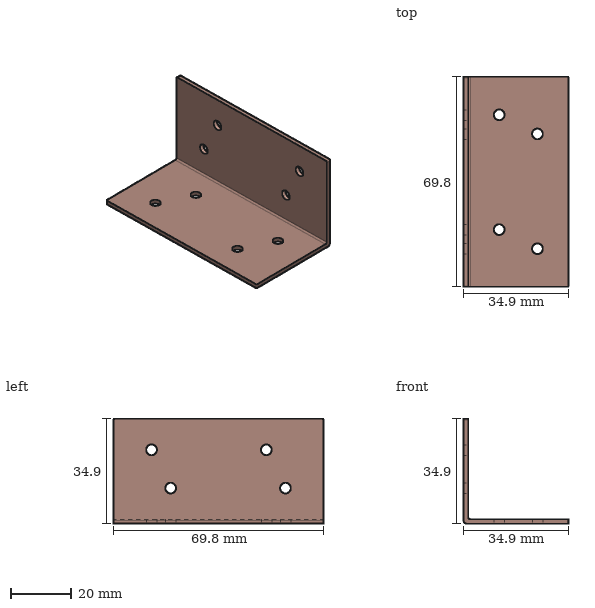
import cadquery as cq

length = 69.85
leg = 34.9
thickness = 1.6
outer_radius = 1.1
inner_radius = 0.6
corner_radius = 0.4

hole_diameter = 3.5
near_row = 11.9
row_spacing = 12.7
hole_pitch = 38.15
row_shift = 6.35

row_offset = row_shift / 2
far_row = near_row + row_spacing


def hole_points(near_shift):
    """Distances from the bend side paired with places along the length, rows shifted oppositely."""
    return [
        (distance, shift + side * hole_pitch / 2)
        for distance, shift in ((near_row, near_shift), (far_row, -near_shift))
        for side in (-1, 1)
    ]


def angle_profile():
    """L-shaped sheet extruded along Y, rounded at the bend."""
    body = (
        cq.Workplane("XZ")
        .polyline([(0, 0), (leg, 0), (leg, thickness), (thickness, thickness), (thickness, leg), (0, leg)])
        .close()
        .extrude(length / 2, both=True)
    )
    body = body.edges(cq.selectors.NearestToPointSelector((0, 0, 0))).fillet(outer_radius)
    inner_corner = cq.selectors.NearestToPointSelector((thickness, 0, thickness))
    return body.edges(inner_corner).fillet(inner_radius)


def round_free_corners(body):
    """Round the end corners of each leg through the sheet thickness."""
    body = body.faces(">X").edges("|Z").fillet(corner_radius)
    return body.faces(">Z").edges("|X").fillet(corner_radius)


def floor_holes():
    return (
        cq.Workplane("XY")
        .pushPoints(hole_points(row_offset))
        .circle(hole_diameter / 2)
        .extrude(thickness)
    )


def wall_holes():
    points = [(along, height) for height, along in hole_points(-row_offset)]
    return cq.Workplane("YZ").pushPoints(points).circle(hole_diameter / 2).extrude(thickness)


result = round_free_corners(angle_profile()).cut(floor_holes()).cut(wall_holes())